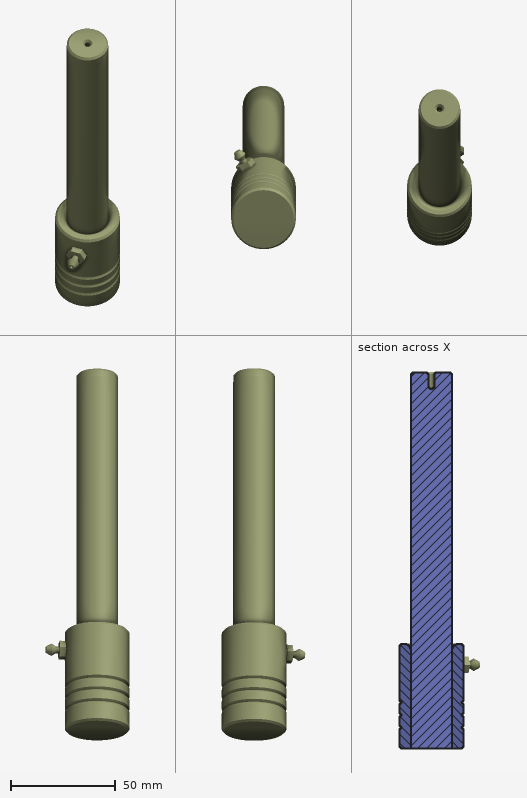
import cadquery as cq
import math

post_length = 180.0
post_diameter = 20.0
post_radius = post_diameter / 2
post_chamfer = 1.0
lead_length = 4.1
lead_relief = 0.09
center_hole_radius = 1.35
center_sink_radius = 2.3
center_hole_depth = 7.2
drill_point_angle = 118.0

sleeve_length = 50.0
sleeve_radius = 15.5
sleeve_chamfer = 1.0
mouth_radius = 2.5
groove_depth = 1.0
groove_count = 3
groove_pitch = 6.0
first_groove_height = 10.0

nipple_height = 40.0
nipple_angle = -67.5
stub_radius = 2.9
stub_length = 4.5
hex_flats = 8.0
hex_seat = sleeve_radius
hex_face = 18.4
neck_diameter = 3.2
neck_end = 19.8
head_diameter = 6.0
head_peak = 22.0
tip_radius = 1.6
tip_end = 24.7
port_radius = 0.63
port_depth = 1.8


def revolve_profile(points):
    """Solid of revolution about Z from (radius, height) points."""
    return cq.Workplane("XZ").polyline(points).close().revolve(360, (0, 0), (0, 1))


def make_post():
    lead_radius = post_radius - lead_relief
    post = revolve_profile([
        (0, 0),
        (post_radius, 0),
        (post_radius, post_length - lead_length),
        (lead_radius, post_length - post_chamfer),
        (lead_radius - post_chamfer, post_length),
        (0, post_length),
    ])
    sink_depth = center_sink_radius - center_hole_radius
    point_depth = center_hole_radius / math.tan(math.radians(drill_point_angle / 2))
    center_hole = revolve_profile([
        (0, post_length),
        (center_sink_radius, post_length),
        (center_hole_radius, post_length - sink_depth),
        (center_hole_radius, post_length - center_hole_depth),
        (0, post_length - center_hole_depth - point_depth),
    ])
    return post.cut(center_hole)


def make_nipple():
    corner_diameter = hex_flats / math.cos(math.radians(30))
    hexagon = (
        cq.Workplane("XY")
        .workplane(offset=hex_seat)
        .polygon(6, corner_diameter)
        .extrude(hex_face - hex_seat)
    )
    turned_core = revolve_profile([
        (0, hex_seat - stub_length),
        (stub_radius, hex_seat - stub_length),
        (stub_radius, hex_seat),
        (neck_diameter / 2, hex_seat),
        (neck_diameter / 2, neck_end),
        (head_diameter / 2, head_peak),
        (tip_radius, tip_end),
        (port_radius, tip_end),
        (port_radius, tip_end - port_depth),
        (0, tip_end - port_depth),
    ])
    return (
        hexagon.union(turned_core)
        .rotate((0, 0, 0), (0, 0, 1), 90)
        .rotate((0, 0, 0), (0, 1, 0), 90)
        .rotate((0, 0, 0), (0, 0, 1), nipple_angle)
        .translate((0, 0, nipple_height))
    )


def make_sleeve(nipple):
    sleeve = (
        cq.Workplane("XY")
        .circle(sleeve_radius)
        .extrude(sleeve_length)
        .faces("<Z or >Z")
        .chamfer(sleeve_chamfer)
        .cut(cq.Workplane("XY").circle(post_radius).extrude(sleeve_length))
    )
    bore_rim = cq.selectors.RadiusNthSelector(0)
    sleeve = sleeve.faces(">Z").edges(bore_rim).fillet(mouth_radius)
    for index in range(groove_count):
        height = first_groove_height + index * groove_pitch
        groove = revolve_profile([
            (sleeve_radius, height - groove_depth),
            (sleeve_radius - groove_depth, height),
            (sleeve_radius, height + groove_depth),
        ])
        sleeve = sleeve.cut(groove)
    return sleeve.cut(nipple)


post = make_post()
nipple = make_nipple()
sleeve = make_sleeve(nipple)

result = cq.Compound.makeCompound([post.val(), sleeve.val(), nipple.val()])